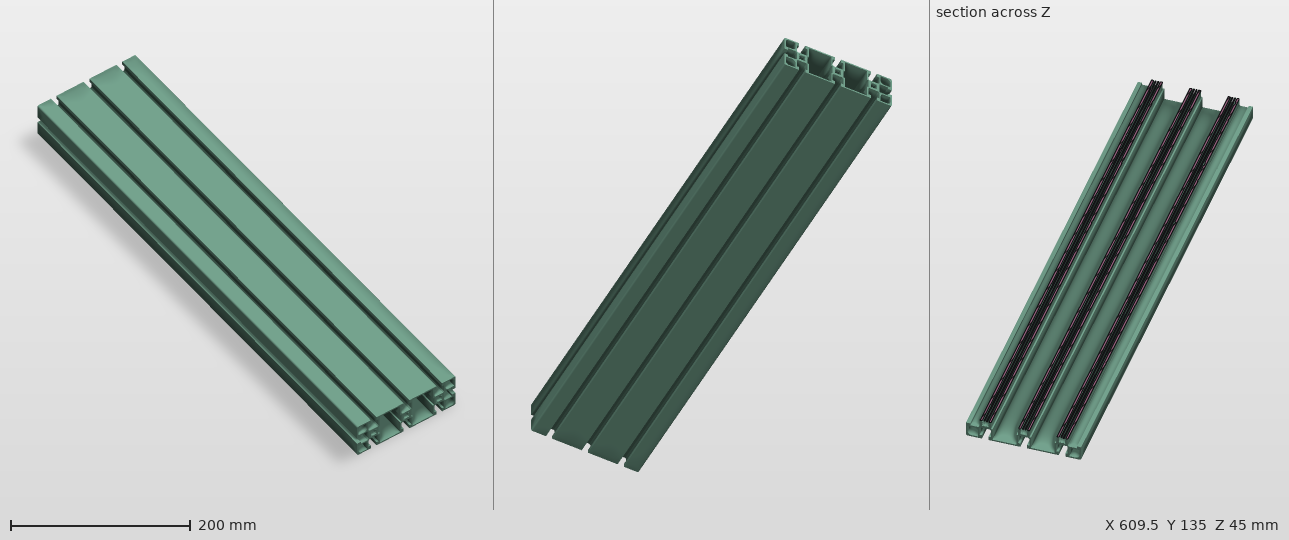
import cadquery as cq

length = 609.5
width = 135.0
height = 45.0
corner_radius = 2.0

module_count = 3
pitch = width / module_count
slot_centres = [(i - (module_count - 1) / 2) * pitch for i in range(module_count)]

slot_mouth = 8.0
lip_depth = 5.0
core_size = 13.5
channel_width = core_size

wall = 2.0
joint_overlap = 0.9
cavity_fillet = 4.0
channel_chamfer = 1.0

bore_radius = 3.8
groove_width = 2.0
groove_reach = 5.2
groove_angles = (45, 135)

half_width = width / 2
half_height = height / 2
side_core_centre = slot_centres[-1]
cavity_edge = channel_width / 2 + wall


def bar(y_min, y_max, z_min, z_max):
    """Full-length rectangular bar between the given Y and Z limits."""
    section = cq.Workplane("YZ").center((y_min + y_max) / 2, (z_min + z_max) / 2)
    return section.rect(y_max - y_min, z_max - z_min).extrude(length / 2, both=True)


def top_slot(y_centre):
    """T-slot opening on the +Z face."""
    floor = core_size / 2
    mouth = bar(y_centre - slot_mouth / 2, y_centre + slot_mouth / 2, floor, half_height)
    channel = bar(
        y_centre - channel_width / 2, y_centre + channel_width / 2, floor, half_height - lip_depth
    )
    channel = channel.faces("<Z").edges("|X").chamfer(channel_chamfer)
    return mouth.union(channel)


def side_slot():
    """T-slot opening on the +Y face."""
    floor = side_core_centre + core_size / 2
    mouth = bar(floor, half_width, -slot_mouth / 2, slot_mouth / 2)
    channel = bar(floor, half_width - lip_depth, -channel_width / 2, channel_width / 2)
    channel = channel.faces("<Y").edges("|X").chamfer(channel_chamfer)
    return mouth.union(channel)


def corner_cavity():
    """Closed square cavity in the +Y +Z corner, rounded on one diagonal."""
    cavity = bar(side_core_centre + cavity_edge, half_width - wall, cavity_edge, half_height - wall)
    outer_rounded = cavity.faces(">Y").edges(">Z").fillet(cavity_fillet)
    return outer_rounded.faces("<Y").edges("<Z").fillet(cavity_fillet)


def main_cavity():
    """Large cavity between two cores, wider at mid-height where it meets them."""
    z_top = half_height - wall
    tall = bar(cavity_edge, pitch - cavity_edge, -z_top, z_top)
    wide_half = core_size / 2 - joint_overlap
    wide = bar(core_size / 2, pitch - core_size / 2, -wide_half, wide_half)
    return tall.union(wide)


def core_bore(y_centre):
    """Round bore with diagonal grooves, through the whole length of a core."""
    section = cq.Workplane("YZ").center(y_centre, 0)
    bore = section.circle(bore_radius).extrude(length / 2, both=True)
    for angle in groove_angles:
        groove = section.slot2D(2 * groove_reach, groove_width, angle)
        bore = bore.union(groove.extrude(length / 2, both=True))
    return bore


def mirrored(shape, plane):
    """The shape together with its mirror image."""
    return shape.union(shape.mirror(plane))


body = bar(-half_width, half_width, -half_height, half_height).edges("|X").fillet(corner_radius)

for y_centre in slot_centres:
    body = body.cut(mirrored(top_slot(y_centre), "XY"))
    body = body.cut(core_bore(y_centre))

body = body.cut(mirrored(side_slot(), "XZ"))
body = body.cut(mirrored(main_cavity(), "XZ"))
body = body.cut(mirrored(mirrored(corner_cavity(), "XZ"), "XY"))

result = body